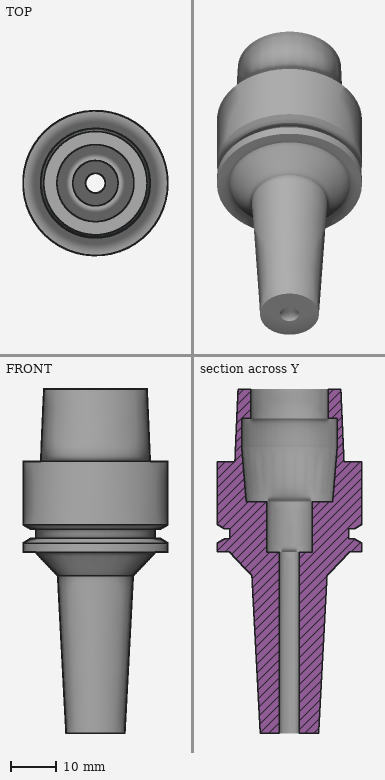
import cadquery as cq

TOTAL_HEIGHT = 76.0
SHANK_LENGTH = 16.0
FLANGE_LENGTH = 20.0
flange_top = TOTAL_HEIGHT - SHANK_LENGTH
flange_bottom = flange_top - FLANGE_LENGTH
NECK_TOP = 34.8

FLANGE_DIAMETER = 32.0
SHANK_TOP_DIAMETER = 22.8
SHANK_BASE_DIAMETER = 24.2
GROOVE_DIAMETER = 26.4
CONE_TOP_DIAMETER = 26.6
NECK_TOP_DIAMETER = 16.7
NECK_TIP_DIAMETER = 13.0

RIM_HEIGHT = 2.0
GROOVE_WIDTH = 2.05
GROOVE_CHAMFER_HEIGHT = 1.0
GROOVE_CHAMFER_DEPTH = 1.7
rim_top = flange_bottom + RIM_HEIGHT
groove_bottom = rim_top + GROOVE_CHAMFER_HEIGHT
groove_top = groove_bottom + GROOVE_WIDTH
body_bottom = groove_top + GROOVE_CHAMFER_HEIGHT

CLAMP_BORE_DIAMETER = 17.0
CLAMP_LIP_LENGTH = 6.5
UNDERCUT_DIAMETER = 21.0
UNDERCUT_WALL_END = 12.8
UNDERCUT_FLOOR_DIAMETER = 19.0
UNDERCUT_DEPTH = 24.8
MIDDLE_BORE_DIAMETER = 10.0
MIDDLE_BORE_DEPTH = SHANK_LENGTH + FLANGE_LENGTH
THROUGH_BORE_DIAMETER = 4.3


def revolve_profile(profile):
    """Revolve a closed outline of (radius, height) points about Z."""
    return cq.Workplane("XZ").polyline(profile).close().revolve(360, (0, 0), (0, 1))


def make_body():
    """Solid outer shape: neck, cone, grooved flange and tapered shank."""
    flange_radius = FLANGE_DIAMETER / 2
    chamfer_radius = flange_radius - GROOVE_CHAMFER_DEPTH
    groove_radius = GROOVE_DIAMETER / 2
    profile = [
        (0, 0),
        (NECK_TIP_DIAMETER / 2, 0),
        (NECK_TOP_DIAMETER / 2, NECK_TOP),
        (CONE_TOP_DIAMETER / 2, flange_bottom),
        (flange_radius, flange_bottom),
        (flange_radius, rim_top),
        (chamfer_radius, groove_bottom),
        (groove_radius, groove_bottom),
        (groove_radius, groove_top),
        (chamfer_radius, groove_top),
        (flange_radius, body_bottom),
        (flange_radius, flange_top),
        (SHANK_BASE_DIAMETER / 2, flange_top),
        (SHANK_TOP_DIAMETER / 2, TOTAL_HEIGHT),
        (0, TOTAL_HEIGHT),
    ]
    return revolve_profile(profile)


def make_bore(diameter, depth):
    """Cylinder on the axis, sunk to a depth below the shank end face."""
    bottom = cq.Workplane("XY").workplane(offset=TOTAL_HEIGHT - depth)
    return bottom.circle(diameter / 2).extrude(depth)


def make_undercut():
    """Widened chamber behind the clamping lip, tapering down to the flat floor."""
    lip_end = TOTAL_HEIGHT - CLAMP_LIP_LENGTH
    wall_end = TOTAL_HEIGHT - UNDERCUT_WALL_END
    floor = TOTAL_HEIGHT - UNDERCUT_DEPTH
    profile = [
        (0, floor),
        (UNDERCUT_FLOOR_DIAMETER / 2, floor),
        (UNDERCUT_DIAMETER / 2, wall_end),
        (UNDERCUT_DIAMETER / 2, lip_end),
        (0, lip_end),
    ]
    return revolve_profile(profile)


result = (
    make_body()
    .cut(make_bore(CLAMP_BORE_DIAMETER, CLAMP_LIP_LENGTH))
    .cut(make_undercut())
    .cut(make_bore(MIDDLE_BORE_DIAMETER, MIDDLE_BORE_DEPTH))
    .cut(make_bore(THROUGH_BORE_DIAMETER, TOTAL_HEIGHT))
)